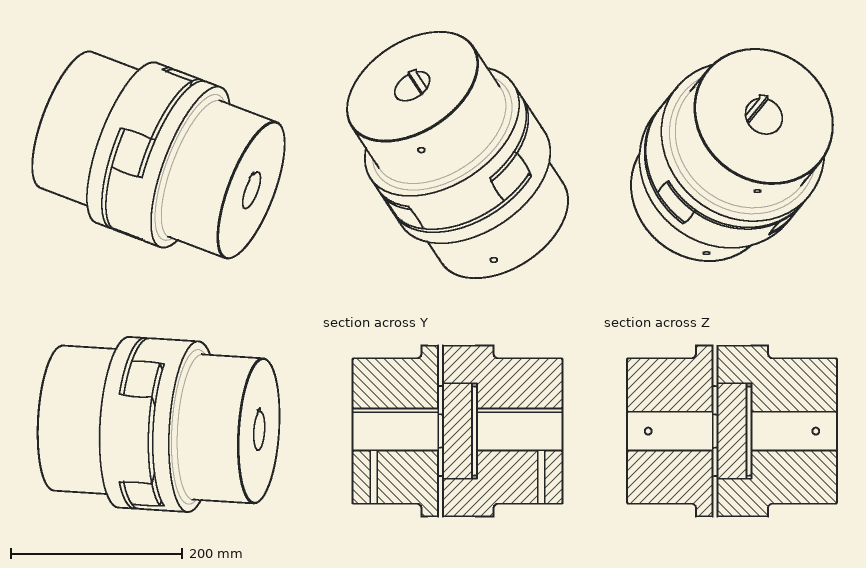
import cadquery as cq
import math

total_length = 245.0
hub_length = 100.0
flange_thickness = 19.5
flange_radius = 100.0
neck_radius = 85.0
neck_fillet = 5.5
end_chamfer = 1.0

bore_radius = 22.5
keyway_width = 10.0
keyway_top = 26.2

screw_hole_radius = 4.0
screw_hole_offset = 24.7

face_gap = total_length - 2 * hub_length
end_clearance = 5.5
spider_thickness = face_gap - 2 * end_clearance
jaw_length = face_gap - end_clearance
core_radius = 55.4

arm_angles = [45, 135, 225, 315]
arm_half_width = 24.7
arm_end_half_width = 22.5


def disc(radius, start, length):
    """Solid cylinder around the X axis, beginning at x = start."""
    return cq.Workplane("YZ", origin=(start, 0, 0)).circle(radius).extrude(length)


def crowned_arms():
    """Four diagonal bars with bulging sides, filling the space between the flanges."""
    bar_length = flange_radius * 1.1
    half_gap = face_gap / 2
    bar = (
        cq.Workplane("XY")
        .moveTo(-half_gap, -arm_end_half_width)
        .threePointArc((0, -arm_half_width), (half_gap, -arm_end_half_width))
        .lineTo(half_gap, arm_end_half_width)
        .threePointArc((0, arm_half_width), (-half_gap, arm_end_half_width))
        .close()
        .extrude(bar_length)
    )
    arms = cq.Workplane("XY")
    for angle in arm_angles:
        arms = arms.union(bar.rotate((0, 0, 0), (1, 0, 0), angle))
    return arms


def make_hub_blank():
    """Neck and flange, with the outer end at -X."""
    outer_end = -total_length / 2
    flange_back = outer_end + hub_length - flange_thickness
    flange_face = outer_end + hub_length
    fillet_middle = neck_fillet * (1 - math.sqrt(0.5))
    return (
        cq.Workplane("XY")
        .moveTo(outer_end, 0)
        .lineTo(outer_end, neck_radius - end_chamfer)
        .lineTo(outer_end + end_chamfer, neck_radius)
        .lineTo(flange_back - neck_fillet, neck_radius)
        .threePointArc(
            (flange_back - fillet_middle, neck_radius + fillet_middle),
            (flange_back, neck_radius + neck_fillet),
        )
        .lineTo(flange_back, flange_radius)
        .lineTo(flange_face, flange_radius)
        .lineTo(flange_face, 0)
        .close()
        .revolve(360, (0, 0, 0), (1, 0, 0))
    )


def make_jaws(jaw_turn):
    """Two opposed jaws on the Z axis, turned about X by jaw_turn degrees."""
    ring = disc(flange_radius, -face_gap / 2, jaw_length).cut(
        disc(core_radius, -face_gap / 2, jaw_length)
    )
    sectors = ring.cut(crowned_arms())
    pieces = [piece for piece in sectors.solids().vals() if abs(piece.Center().z) > core_radius / 2]
    jaws = [cq.Workplane("XY").newObject([piece]) for piece in pieces]
    return [jaw.rotate((0, 0, 0), (1, 0, 0), jaw_turn) for jaw in jaws]


def make_hub(jaw_turn):
    """Hub at -X with keyed bore, set-screw hole and jaws."""
    outer_end = -total_length / 2
    hub = make_hub_blank()
    for jaw in make_jaws(jaw_turn):
        hub = hub.union(jaw)
    hub = hub.cut(disc(bore_radius, outer_end, hub_length))
    keyway = cq.Workplane("XY").box(
        hub_length, keyway_width, keyway_top, centered=(False, True, False)
    )
    hub = hub.cut(keyway.translate((outer_end, 0, 0)))
    screw_hole = (
        cq.Workplane("XY", origin=(outer_end + screw_hole_offset, 0, 0))
        .circle(screw_hole_radius)
        .extrude(-flange_radius)
    )
    return hub.cut(screw_hole)


def make_spider():
    """Solid core with four crowned arms that fit between the jaws."""
    core = disc(core_radius, -spider_thickness / 2, spider_thickness)
    envelope = disc(flange_radius, -spider_thickness / 2, spider_thickness)
    return core.union(crowned_arms().intersect(envelope))


hubs = [make_hub(jaw_turn=0), make_hub(jaw_turn=90).mirror("YZ")]
spider = make_spider()

result = cq.Compound.makeCompound([*[hub.val() for hub in hubs], spider.val()])